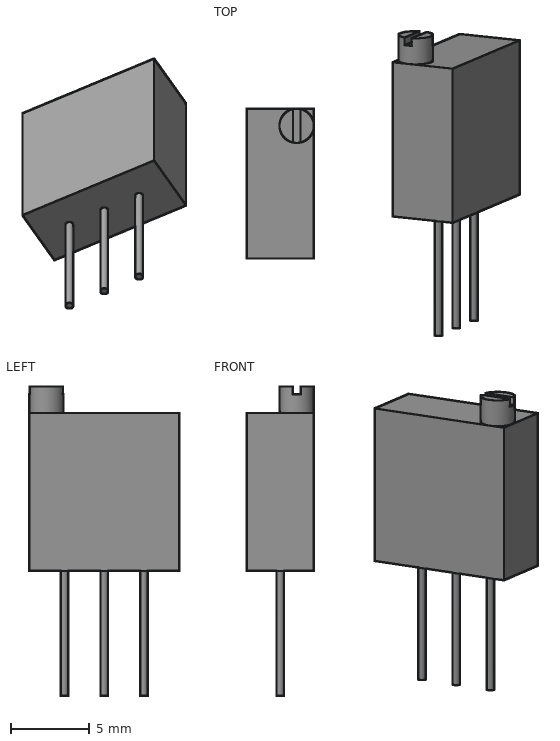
import cadquery as cq


housing_width = 4.3
housing_length = 9.6
housing_height = 10.1

screw_diameter = 2.2
screw_height = 1.7
slot_width = 0.5
slot_depth = 0.5

pin_diameter = 0.5
pin_length = 8.0
pin_pitch = 2.54

screw_x = (housing_width - screw_diameter) / 2
screw_y = (housing_length - screw_diameter) / 2


def make_housing():
    return cq.Workplane("XY").box(
        housing_width, housing_length, housing_height, centered=(True, True, False)
    )


def make_screw():
    """Cylinder standing on the housing, with a driver slot running along Y."""
    head = cq.Workplane("XY").circle(screw_diameter / 2).extrude(screw_height)
    slot = (
        cq.Workplane("XY")
        .workplane(offset=screw_height - slot_depth)
        .rect(slot_width, screw_diameter)
        .extrude(slot_depth)
    )
    return head.cut(slot).translate((screw_x, screw_y, housing_height))


def make_pin(y):
    """Round wire hanging from the underside of the housing."""
    return cq.Workplane("XY").center(0, y).circle(pin_diameter / 2).extrude(-pin_length)


housing = make_housing()
screw = make_screw()
pins = [make_pin(position * pin_pitch) for position in (-1, 0, 1)]

result = cq.Compound.makeCompound(
    [housing.val(), screw.val(), *[pin.val() for pin in pins]]
)